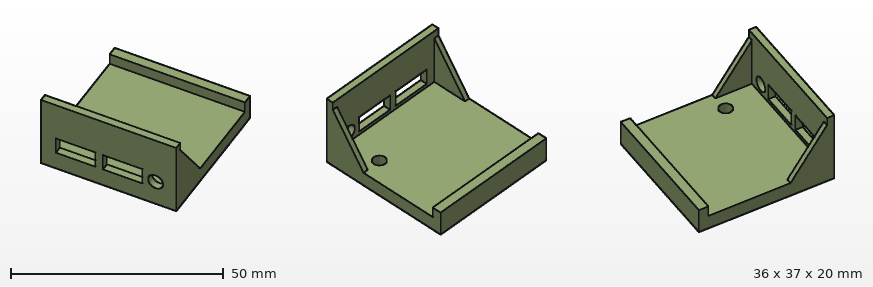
import cadquery as cq

width = 36.0
depth = 37.0
front_wall_height = 20.0

floor_thickness = 4.0
front_wall_thickness = 2.0
rear_wall_thickness = 2.6
rear_wall_height = 7.0

gusset_thickness = 1.45
gusset_length = 10.0
gusset_rise = 13.75

window_width = 10.5
window_bottom = 5.0
window_height = 4.5
first_window_left = 4.0
window_gap = 2.0

wall_hole_x = 30.5
wall_hole_z = 7.0
wall_hole_diameter = 4.0

floor_hole_x = 30.3
floor_hole_y = 11.7
floor_hole_diameter = 3.5


def make_tray():
    """Floor with a tall front wall and a low rear wall, extruded across the width."""
    rear_wall_inner_y = depth - rear_wall_thickness
    return (
        cq.Workplane("YZ")
        .polyline([
            (0, 0),
            (depth, 0),
            (depth, rear_wall_height),
            (rear_wall_inner_y, rear_wall_height),
            (rear_wall_inner_y, floor_thickness),
            (front_wall_thickness, floor_thickness),
            (front_wall_thickness, front_wall_height),
            (0, front_wall_height),
        ])
        .close()
        .extrude(width)
    )


def make_gusset(left):
    """Right-angled triangle between floor and front wall, its outer side starting at x = left."""
    return (
        cq.Workplane("YZ", origin=(left, front_wall_thickness, floor_thickness))
        .polyline([(0, 0), (gusset_length, 0), (0, gusset_rise)])
        .close()
        .extrude(gusset_thickness)
    )


def make_window(left):
    """Cutter for one rectangular window through the front wall."""
    return (
        cq.Workplane("XY", origin=(left, 0, window_bottom))
        .box(window_width, front_wall_thickness, window_height, centered=False)
    )


def make_wall_hole():
    """Cutter for the round hole through the front wall."""
    return (
        cq.Workplane("XZ", origin=(wall_hole_x, 0, wall_hole_z))
        .circle(wall_hole_diameter / 2)
        .extrude(-front_wall_thickness)
    )


def make_floor_hole():
    """Cutter for the round hole through the floor."""
    return (
        cq.Workplane("XY", origin=(floor_hole_x, floor_hole_y, 0))
        .circle(floor_hole_diameter / 2)
        .extrude(floor_thickness)
    )


result = make_tray()

for gusset_left in (0, width - gusset_thickness):
    result = result.union(make_gusset(gusset_left))

for window_left in (first_window_left, first_window_left + window_width + window_gap):
    result = result.cut(make_window(window_left))

result = result.cut(make_wall_hole()).cut(make_floor_hole())